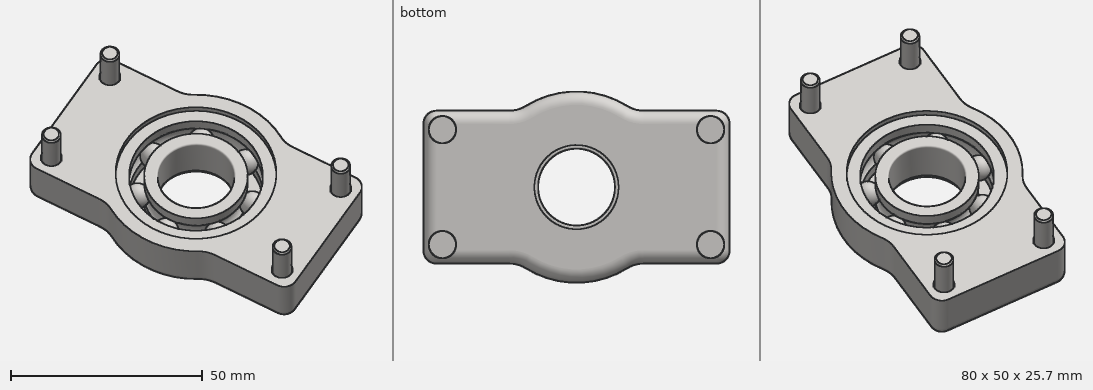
import cadquery as cq
import math

PLATE_LENGTH = 80.0
PLATE_WIDTH = 40.0
HOUSING_HEIGHT = 15.0
BOSS_DIAMETER = 50.0
CORNER_RADIUS = 3.5
BLEND_RADIUS = 8.0
BOTTOM_FILLET = 3.5

BEARING_RECESS = 1.4
FLOOR_HOLE_DIAMETER = 22.0

BEARING_OUTER_DIAMETER = 42.0
BEARING_BORE = 20.0
BEARING_WIDTH = 12.0
OUTER_RING_INNER_DIAMETER = 35.0
INNER_RING_OUTER_DIAMETER = 27.0
RING_FILLET = 0.5
BALL_DIAMETER = 6.7
BALL_COUNT = 7
FIRST_BALL_ANGLE = -90.0
RACEWAY_DIAMETER = 6.6

PIN_SPACING_X = 70.0
PIN_SPACING_Y = 30.0
PIN_DIAMETER = 5.0
PIN_TOP = 25.7
PIN_CHAMFER = 0.5
HEAD_DIAMETER = 7.0
HEAD_HEIGHT = 4.0
HEAD_RECESS = 0.7
PIN_HOLE_DIAMETER = 5.5
COUNTERBORE_DIAMETER = 7.2

BEARING_TOP = HOUSING_HEIGHT - BEARING_RECESS
BEARING_BOTTOM = BEARING_TOP - BEARING_WIDTH
BEARING_MIDDLE = BEARING_BOTTOM + BEARING_WIDTH / 2
PITCH_RADIUS = (OUTER_RING_INNER_DIAMETER + INNER_RING_OUTER_DIAMETER) / 4
HEAD_TOP = HEAD_RECESS + HEAD_HEIGHT
PIN_PLACES = [
    (side_x * PIN_SPACING_X / 2, side_y * PIN_SPACING_Y / 2)
    for side_x in (-1, 1)
    for side_y in (-1, 1)
]


def cylinder(diameter, bottom, top):
    """Solid cylinder on the Z axis."""
    return cq.Workplane("XY").workplane(offset=bottom).circle(diameter / 2).extrude(top - bottom)


def make_housing_blank():
    """Rounded plate and boss, blended in plan and rounded along the bottom edge."""
    plate = cq.Workplane("XY").rect(PLATE_LENGTH, PLATE_WIDTH).extrude(HOUSING_HEIGHT)
    plate = plate.edges("|Z").fillet(CORNER_RADIUS)
    blank = plate.union(cylinder(BOSS_DIAMETER, 0, HOUSING_HEIGHT))

    crossing_x = math.sqrt((BOSS_DIAMETER / 2) ** 2 - (PLATE_WIDTH / 2) ** 2)
    search_margin = 0.4
    near_crossings = cq.selectors.BoxSelector(
        (-crossing_x - search_margin, -PLATE_WIDTH, 0),
        (crossing_x + search_margin, PLATE_WIDTH, HOUSING_HEIGHT),
    )
    blank = blank.edges("|Z").edges(near_crossings).fillet(BLEND_RADIUS)
    return blank.faces("<Z").edges().fillet(BOTTOM_FILLET)


def make_housing():
    """Housing with the bearing seat and the counterbored pin holes."""
    seat = cylinder(BEARING_OUTER_DIAMETER, BEARING_BOTTOM, HOUSING_HEIGHT)
    floor_hole = cylinder(FLOOR_HOLE_DIAMETER, 0, HOUSING_HEIGHT)
    housing = make_housing_blank().cut(seat).cut(floor_hole)
    pin_hole = cylinder(PIN_HOLE_DIAMETER, 0, HOUSING_HEIGHT)
    counterbore = cylinder(COUNTERBORE_DIAMETER, 0, HEAD_TOP)
    for x, y in PIN_PLACES:
        housing = housing.cut(pin_hole.translate((x, y, 0)))
        housing = housing.cut(counterbore.translate((x, y, 0)))
    return housing


def make_ring(outer_diameter, inner_diameter):
    """Plain ring over the full bearing width."""
    outside = cylinder(outer_diameter, BEARING_BOTTOM, BEARING_TOP)
    return outside.cut(cylinder(inner_diameter, BEARING_BOTTOM, BEARING_TOP))


def make_bearing():
    """Both rings, joined into one solid by balls that sink slightly into the raceways."""
    outer_ring = make_ring(BEARING_OUTER_DIAMETER, OUTER_RING_INNER_DIAMETER)
    outer_ring = outer_ring.faces("<Z or >Z").edges(cq.selectors.RadiusNthSelector(-1)).fillet(RING_FILLET)
    inner_ring = make_ring(INNER_RING_OUTER_DIAMETER, BEARING_BORE)
    inner_ring = inner_ring.faces("<Z or >Z").edges(cq.selectors.RadiusNthSelector(0)).fillet(RING_FILLET)

    raceway = cq.Workplane("XZ").center(PITCH_RADIUS, BEARING_MIDDLE).circle(RACEWAY_DIAMETER / 2)
    raceway = raceway.revolve(360, (-PITCH_RADIUS, 0), (-PITCH_RADIUS, 1))
    bearing = outer_ring.union(inner_ring).cut(raceway)

    ball = cq.Workplane("YZ").sphere(BALL_DIAMETER / 2).translate((PITCH_RADIUS, 0, BEARING_MIDDLE))
    for index in range(BALL_COUNT):
        angle = FIRST_BALL_ANGLE + index * 360 / BALL_COUNT
        bearing = bearing.union(ball.rotate((0, 0, 0), (0, 0, 1), angle))
    return bearing


def make_pin(x, y):
    """Pin with its head sunk below the underside of the housing."""
    shank = cylinder(PIN_DIAMETER, HEAD_RECESS, PIN_TOP).faces(">Z").chamfer(PIN_CHAMFER)
    head = cylinder(HEAD_DIAMETER, HEAD_RECESS, HEAD_TOP)
    return shank.union(head).translate((x, y, 0))


housing = make_housing()
bearing = make_bearing()
pins = [make_pin(x, y) for x, y in PIN_PLACES]

result = cq.Compound.makeCompound([housing.val(), bearing.val(), *[pin.val() for pin in pins]])